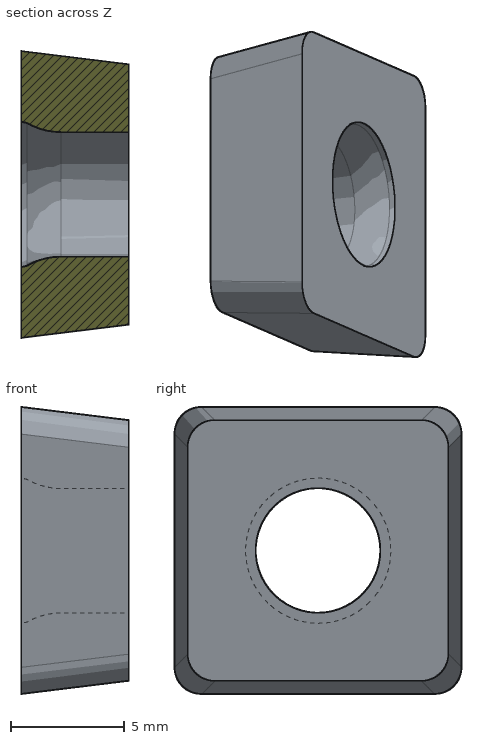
import cadquery as cq
import math

width = 12.7
thickness = 4.76
relief_angle = 7.0
corner_radius = 1.2

mouth_diameter = 6.43
seat_diameter = 6.31
hole_diameter = 5.5
lead_in_depth = 0.25
seat_radius = 3.0


def rounded_square(side):
    """Square outline with rounded corners."""
    return cq.Sketch().rect(side, side).vertices().fillet(corner_radius)


def make_body():
    """Tapered block whose corner radius is the same on both faces."""
    small_width = width - 2 * thickness * math.tan(math.radians(relief_angle))
    large_face = rounded_square(width)
    small_face = rounded_square(small_width).moved(cq.Location(cq.Vector(0, 0, thickness)))
    return cq.Workplane("YZ").placeSketch(large_face, small_face).loft(ruled=True)


def make_bore():
    """Revolved cutter; the seat arc runs tangent into the straight hole."""
    hole_r = hole_diameter / 2
    seat_r = seat_diameter / 2
    arc_angle = math.acos(1 - (seat_r - hole_r) / seat_radius)
    seat_end = lead_in_depth + seat_radius * math.sin(arc_angle)
    arc_middle = (
        seat_end - seat_radius * math.sin(arc_angle / 2),
        hole_r + seat_radius * (1 - math.cos(arc_angle / 2)),
    )
    return (
        cq.Workplane("XY")
        .lineTo(0, mouth_diameter / 2)
        .lineTo(lead_in_depth, seat_r)
        .threePointArc(arc_middle, (seat_end, hole_r))
        .lineTo(thickness, hole_r)
        .lineTo(thickness, 0)
        .close()
        .revolve(360, (0, 0, 0), (1, 0, 0))
    )


result = make_body().cut(make_bore())